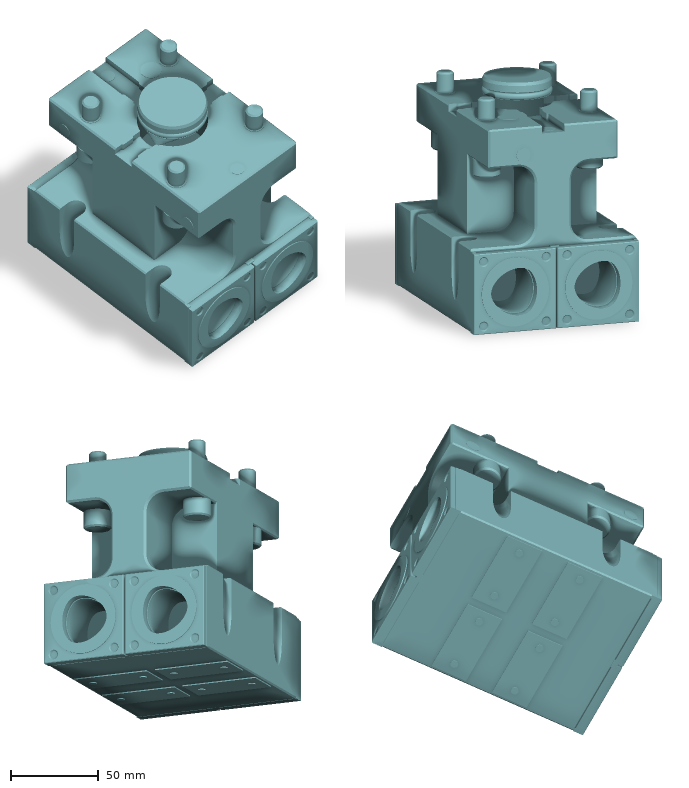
import cadquery as cq
import math

LENGTH = 136.0
WIDTH = 100.0
HEIGHT = 134.5
HALF_WIDTH = WIDTH / 2

BLOCK_LENGTH = 123.4
BLOCK_BOTTOM = 1.2
BLOCK_TOP = 50.2
BLOCK_CHAMFER = 0.8

PLATE_THICKNESS = 3.3
RING_HEIGHT = 0.5
RING_DIAMETER = 40.5
PLATE_TOP = 48.3
PLATE_GAP = 1.0
PLATE_CHAMFER = 0.4
POST_TOP = 48.8
EDGE_POST_WIDTH = 2.2
MIDDLE_POST_WIDTH = 5.2
SCREW_OFFSET = 18.9
SCREW_DIAMETER = 5.7
SCREW_FLOOR_DIAMETER = 4.5
SCREW_DEPTH = 0.7

LOBE_RADIUS = 13.9
LOBE_HEIGHT = 0.8
LOBE_SAMPLES = 60
SOCKET_MOUTH_DEPTH = 5.5
SOCKET_DEPTH = 32.6
SOCKET_STEP = 0.4
SOCKET_TAPER = 0.7

BODY_WIDTH = 78.2
BODY_TOP = 119.0
BODY_CHAMFER = 1.0
COLUMN_LENGTH = 50.3
WEB_THICKNESS = 21.9
FLANGE_BOTTOM = 96.3
FLANGE_BEVEL = 0.8
RECESS_RADIUS = 10.6
RECESS_CHAMFER = 1.2
FLARE_ANGLE = 45.0

BOLT_X = 35.0
BOLT_Y = 31.0
BOLT_DIAMETER = 9.9
BOLT_TOP = 131.4
BOLT_CHAMFER = 1.0
HEAD_DIAMETER = 16.0
HEAD_BOTTOM = 86.2
HEAD_CHAMFER = 1.0
COLLAR_DIAMETER = 11.7
COLLAR_HEIGHT = 0.34
GROOVE_DIAMETER = 11.7
GROOVE_TILT = 20.0
GROOVE_START = 83.8
GROOVE_LENGTH = 108.8
GROOVE_REACH = 27.2

SLOT_WIDTH = 13.6
SLOT_NECK_WIDTH = 11.7
SLOT_DEPTH = 4.4
NECK_INNER = 25.8
NECK_OUTER = 33.2
NECK_RAMP = 1.0
SLOT_FLOOR = BODY_TOP - SLOT_DEPTH

POCKET_DIAMETER = 40.5
POCKET_DEPTH = 27.2
CAP_DIAMETER = 39.8
CAP_BOTTOM = 128.8
CAP_CHAMFER_WIDTH = 0.8
CAP_CHAMFER_HEIGHT = 1.8
NECK_DIAMETER = 35.2
RIM_DIAMETER = 40.5
RIM_BOTTOM = 124.3
RIM_TOP = 128.1
RIM_FILLET = 1.8
CONE_DIAMETER = 39.2
FOOT_X = 7.3
FOOT_Y = -19.2
FOOT_RADIUS = 0.8
FOOT_BOTTOM = 118.6

PLUG_DIAMETER = 8.5
PLUG_HEIGHT = 0.3
LARGE_PLUG_DIAMETER = 12.4
TOP_PLUG_X = 52.8
LARGE_PLUG_X = -35.9
SIDE_PLUG_LEFT_X = -47.9
SIDE_PLUG_RIGHT_X = 52.8
SIDE_PLUG_Z = 102.8
PLUG_Y = 18.1

PAD_LENGTH = 22.0
PAD_WIDTH = 45.3
PAD_X = 19.3
PAD_BOTTOM = 0.5
STUD_DIAMETER = 4.5
STUD_OFFSET = 15.6

BLOCK_END = BLOCK_LENGTH / 2
RING_FACE = LENGTH / 2
PLATE_FACE = RING_FACE - RING_HEIGHT
PLATE_BACK = PLATE_FACE - PLATE_THICKNESS
PLATE_WIDTH = (WIDTH - PLATE_GAP) / 2
PLATE_Y = (WIDTH + PLATE_GAP) / 4
SOCKET_Z = (BLOCK_BOTTOM + PLATE_TOP) / 2
SIGNS = (-1, 1)

OVERLAP = 0.7


def box(x_range, y_range, z_range):
    """Box between two limits on each axis."""
    sizes = [high - low for low, high in (x_range, y_range, z_range)]
    corner = (x_range[0], y_range[0], z_range[0])
    return cq.Workplane("XY").box(*sizes, centered=False).translate(corner)


def cylinder(diameter, start, direction, length):
    """Cylinder from a start point along a direction."""
    solid = cq.Solid.makeCylinder(diameter / 2, length, cq.Vector(*start), cq.Vector(*direction))
    return cq.Workplane(obj=solid)


def make_groove(x, side):
    """Round-bottomed tool groove, open outward, that tilts away from a bolt head."""
    half = GROOVE_DIAMETER / 2
    groove = cylinder(GROOVE_DIAMETER, (0, 0, 0), (0, 0, -1), GROOVE_LENGTH)
    groove = groove.union(box((-half, half), (0, GROOVE_REACH), (-GROOVE_LENGTH, 0)))
    groove = groove.rotate((0, 0, 0), (1, 0, 0), GROOVE_TILT)
    groove = groove.translate((x, BOLT_Y, GROOVE_START))
    return groove if side > 0 else groove.mirror("XZ")


def make_block():
    block = box((-BLOCK_END, BLOCK_END), (-HALF_WIDTH, HALF_WIDTH), (BLOCK_BOTTOM, BLOCK_TOP))
    return block.faces("<Z or >Z").edges().chamfer(BLOCK_CHAMFER)


def make_recess(side_x, side_y):
    """Rounded side recess that flares into a chamfer at the end of the body."""
    near = WEB_THICKNESS / 2
    far = HALF_WIDTH + 2 * RECESS_RADIUS
    start = COLUMN_LENGTH / 2
    middle = (0, (near + far) / 2, (BLOCK_TOP + FLANGE_BOTTOM) / 2)
    outline = cq.Sketch().rect(far - near, FLANGE_BOTTOM - BLOCK_TOP)
    outline = outline.vertices().fillet(RECESS_RADIUS)

    plane = cq.Workplane("YZ", origin=middle)
    recess = plane.workplane(offset=start).placeSketch(outline).extrude(BLOCK_END - start)
    mouth = plane.workplane(offset=BLOCK_END - RECESS_CHAMFER).placeSketch(outline)
    recess = recess.union(mouth.extrude(RECESS_CHAMFER, taper=-FLARE_ANGLE))
    if side_x < 0:
        recess = recess.mirror("YZ")
    if side_y < 0:
        recess = recess.mirror("XZ")
    return recess


def make_flange_bevel(side_x, side_y):
    """Wedge that bevels the lower long edge of the flange over a recess."""
    edge = side_y * BODY_WIDTH / 2
    outline = [
        (edge - side_y * FLANGE_BEVEL, FLANGE_BOTTOM),
        (edge, FLANGE_BOTTOM),
        (edge, FLANGE_BOTTOM + FLANGE_BEVEL),
    ]
    start = side_x * COLUMN_LENGTH / 2
    wedge = cq.Workplane("YZ").workplane(offset=start).polyline(outline).close()
    return wedge.extrude(side_x * (BLOCK_LENGTH - COLUMN_LENGTH) / 2)


def make_slot(angle, outer_end):
    """Key slot running out from the pocket, with a narrower neck along part of it."""
    wide = SLOT_WIDTH / 2
    narrow = SLOT_NECK_WIDTH / 2
    half_outline = [
        (0, wide),
        (NECK_INNER - NECK_RAMP, wide),
        (NECK_INNER, narrow),
        (NECK_OUTER, narrow),
        (NECK_OUTER + NECK_RAMP, wide),
        (outer_end, wide),
    ]
    outline = half_outline + [(x, -y) for x, y in reversed(half_outline)]
    slot = cq.Workplane("XY").workplane(offset=SLOT_FLOOR).polyline(outline).close()
    slot = slot.extrude(SLOT_DEPTH + OVERLAP)
    return slot.rotate((0, 0, 0), (0, 0, 1), angle)


def make_upper_body():
    half = BODY_WIDTH / 2
    body = box((-BLOCK_END, BLOCK_END), (-half, half), (BLOCK_TOP - BLOCK_CHAMFER, BODY_TOP))
    body = body.edges("|Z or >Z").chamfer(BODY_CHAMFER)
    for angle, outer_end in ((90, half), (180, BLOCK_END), (270, half)):
        body = body.cut(make_slot(angle, outer_end + OVERLAP))
    pocket_floor = BODY_TOP - POCKET_DEPTH
    return body.cut(cylinder(POCKET_DIAMETER, (0, 0, pocket_floor), (0, 0, 1), POCKET_DEPTH))


def lobed_outline(radius, z):
    """Closed three-lobed curve of constant width, traced from its support function."""

    def point(t):
        angle = 2 * math.pi * t
        reach = radius + LOBE_HEIGHT * math.cos(3 * angle)
        slope = -3 * LOBE_HEIGHT * math.sin(3 * angle)
        return (
            reach * math.cos(angle) - slope * math.sin(angle),
            reach * math.sin(angle) + slope * math.cos(angle),
        )

    return cq.Workplane("XY").workplane(offset=z).parametricCurve(point, N=LOBE_SAMPLES)


def make_socket():
    """Coupling socket: a straight mouth followed by a slight taper, opening at z = 0."""
    mouth = lobed_outline(LOBE_RADIUS, -SOCKET_MOUTH_DEPTH).extrude(SOCKET_MOUTH_DEPTH + OVERLAP)
    inner_radius = LOBE_RADIUS - SOCKET_STEP
    wide = lobed_outline(inner_radius, -SOCKET_MOUTH_DEPTH).val()
    small = lobed_outline(inner_radius - SOCKET_TAPER, -SOCKET_DEPTH).val()
    taper = cq.Solid.makeLoft([small, wide])
    return mouth.union(cq.Workplane(obj=taper))


def make_screw_recess(y, z):
    """Conical ring recess around a plate screw."""
    cone = cq.Solid.makeCone(
        SCREW_FLOOR_DIAMETER / 2,
        SCREW_DIAMETER / 2,
        SCREW_DEPTH,
        cq.Vector(PLATE_FACE - SCREW_DEPTH, y, z),
        cq.Vector(1, 0, 0),
    )
    return cq.Workplane(obj=cone)


def make_end():
    """Everything added to the +X end of the block: backing, posts and two plates."""
    middle_half = MIDDLE_POST_WIDTH / 2
    backing_half = HALF_WIDTH - EDGE_POST_WIDTH
    backing_height = (BLOCK_BOTTOM, PLATE_TOP)
    end = box((BLOCK_END, PLATE_BACK), (-backing_half, backing_half), backing_height)

    for low, high in (
        (-HALF_WIDTH, -HALF_WIDTH + EDGE_POST_WIDTH),
        (-middle_half, middle_half),
        (HALF_WIDTH - EDGE_POST_WIDTH, HALF_WIDTH),
    ):
        post = box((BLOCK_END - OVERLAP, PLATE_BACK), (low, high), (BLOCK_BOTTOM, POST_TOP))
        end = end.union(post)

    for y in (-PLATE_Y, PLATE_Y):
        half = PLATE_WIDTH / 2
        plate = box((PLATE_BACK, PLATE_FACE), (y - half, y + half), (BLOCK_BOTTOM, PLATE_TOP))
        plate = plate.faces(">X").edges().chamfer(PLATE_CHAMFER)
        plate = plate.faces("<X").edges("|Z").chamfer(PLATE_CHAMFER)
        ring_length = RING_HEIGHT + PLATE_THICKNESS
        ring = cylinder(RING_DIAMETER, (PLATE_BACK, y, SOCKET_Z), (1, 0, 0), ring_length)
        plate = plate.union(ring)
        for y_sign in SIGNS:
            for z_sign in SIGNS:
                screw_y = y + y_sign * SCREW_OFFSET
                screw_z = SOCKET_Z + z_sign * SCREW_OFFSET
                plate = plate.cut(make_screw_recess(screw_y, screw_z))
        end = end.union(plate)
    return end


def cut_sockets(part):
    """Sink two coupling sockets into each end, with a lobe toward +Y."""
    socket = make_socket()
    for y in (-PLATE_Y, PLATE_Y):
        plane = cq.Plane(origin=(RING_FACE, y, SOCKET_Z), xDir=(0, 1, 0), normal=(1, 0, 0))
        placed = cq.Workplane(obj=socket.val().moved(cq.Location(plane)))
        part = part.cut(placed).cut(placed.mirror("YZ"))
    return part


def make_bolt(x, y):
    """Clamping bolt: head under the flange, collar and shank above the top face."""
    up = (0, 0, 1)
    head_height = FLANGE_BOTTOM - HEAD_BOTTOM
    head = cylinder(HEAD_DIAMETER, (x, y, HEAD_BOTTOM), up, head_height)
    head = head.faces("<Z").chamfer(HEAD_CHAMFER)
    shank = cylinder(BOLT_DIAMETER, (x, y, FLANGE_BOTTOM), up, BOLT_TOP - FLANGE_BOTTOM)
    shank = shank.faces(">Z").chamfer(BOLT_CHAMFER)
    collar_length = BODY_TOP + COLLAR_HEIGHT - FLANGE_BOTTOM
    return head.union(shank).union(cylinder(COLLAR_DIAMETER, (x, y, FLANGE_BOTTOM), up, collar_length))


def make_knob():
    """Grooved round knob carried by a skewed cone whose tip stands on the pocket edge."""
    up = (0, 0, 1)
    cap = cylinder(CAP_DIAMETER, (0, 0, CAP_BOTTOM), up, HEIGHT - CAP_BOTTOM)
    cap = cap.faces(">Z").chamfer(CAP_CHAMFER_HEIGHT, CAP_CHAMFER_WIDTH)
    neck = cylinder(NECK_DIAMETER, (0, 0, RIM_TOP), up, CAP_BOTTOM - RIM_TOP)
    rim = cylinder(RIM_DIAMETER, (0, 0, RIM_BOTTOM), up, RIM_TOP - RIM_BOTTOM)
    rim = rim.edges("%CIRCLE").fillet(RIM_FILLET)
    cone = (
        cq.Workplane("XY", origin=(0, 0, RIM_BOTTOM))
        .circle(CONE_DIAMETER / 2)
        .workplane(offset=FOOT_BOTTOM - RIM_BOTTOM)
        .center(FOOT_X, FOOT_Y)
        .circle(FOOT_RADIUS)
        .loft()
    )
    foot = cylinder(2 * FOOT_RADIUS, (FOOT_X, FOOT_Y, SLOT_FLOOR), up, FOOT_BOTTOM - SLOT_FLOOR)
    return cap.union(neck).union(rim).union(cone).union(foot)


def make_plugs():
    """Thin round sealing plugs on the top, the slot floor, the -Y side and the -X end."""
    length = PLUG_HEIGHT + OVERLAP

    def plug(diameter, surface_point, normal):
        start = [p - OVERLAP * n for p, n in zip(surface_point, normal)]
        return cylinder(diameter, start, normal, length)

    plugs = [
        plug(PLUG_DIAMETER, (-TOP_PLUG_X, 0, SLOT_FLOOR), (0, 0, 1)),
        plug(PLUG_DIAMETER, (TOP_PLUG_X, 0, BODY_TOP), (0, 0, 1)),
        plug(LARGE_PLUG_DIAMETER, (LARGE_PLUG_X, PLUG_Y, BODY_TOP), (0, 0, 1)),
        plug(PLUG_DIAMETER, (-BLOCK_END, PLUG_Y, SIDE_PLUG_Z), (-1, 0, 0)),
    ]
    for x in (SIDE_PLUG_LEFT_X, SIDE_PLUG_RIGHT_X):
        plugs.append(plug(PLUG_DIAMETER, (x, -BODY_WIDTH / 2, SIDE_PLUG_Z), (0, -1, 0)))
    return plugs


def make_pads():
    """Flat pads with round studs under the block."""
    pads = []
    for x in (-PAD_X, PAD_X):
        for y in (-PLATE_Y, PLATE_Y):
            x_range = (x - PAD_LENGTH / 2, x + PAD_LENGTH / 2)
            y_range = (y - PAD_WIDTH / 2, y + PAD_WIDTH / 2)
            pads.append(box(x_range, y_range, (PAD_BOTTOM, BLOCK_BOTTOM + OVERLAP)))
            for offset in (-STUD_OFFSET, STUD_OFFSET):
                pads.append(cylinder(STUD_DIAMETER, (x, y + offset, 0), (0, 0, 1), BLOCK_BOTTOM))
    return pads


result = make_block().union(make_upper_body())
for side_x in SIGNS:
    for side_y in SIGNS:
        result = result.cut(make_recess(side_x, side_y))
        result = result.cut(make_flange_bevel(side_x, side_y))
        result = result.cut(make_groove(side_x * BOLT_X, side_y))

end_set = make_end()
result = result.union(end_set).union(end_set.mirror("YZ"))
result = cut_sockets(result)

for bolt_x in (-BOLT_X, BOLT_X):
    for bolt_y in (-BOLT_Y, BOLT_Y):
        result = result.union(make_bolt(bolt_x, bolt_y))

result = result.union(make_knob())
for detail in make_plugs() + make_pads():
    result = result.union(detail)